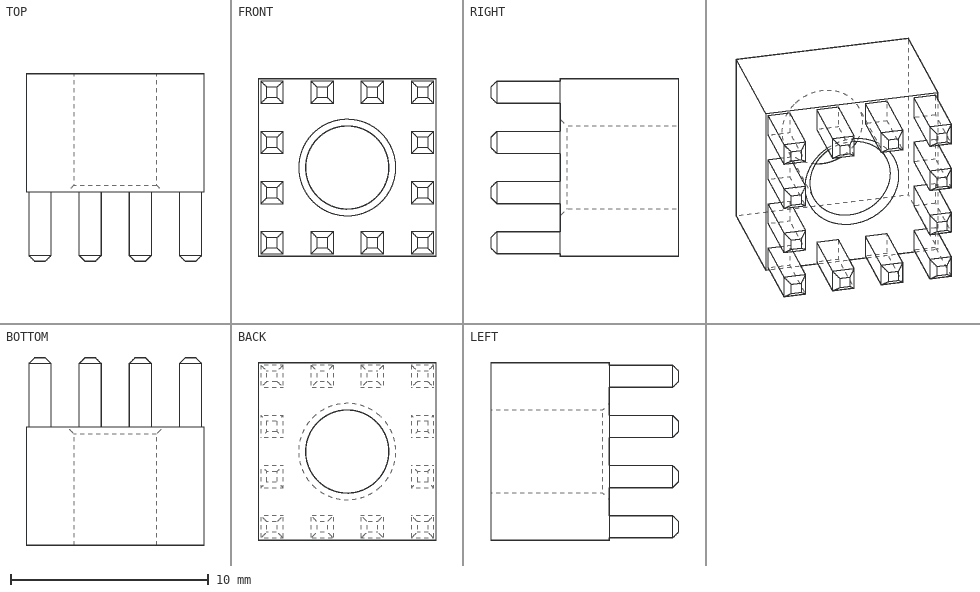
import cadquery as cq

body_width = 9.0
body_depth = 6.0

hole_diameter = 4.2
countersink_diameter = 4.9
countersink_depth = (countersink_diameter - hole_diameter) / 2

pins_per_side = 4
pin_pitch = 2.54
pin_width = 1.13
pin_length = 3.5
tip_length = 0.3
tip_width = pin_width - 2 * tip_length
shank_length = pin_length - tip_length


def make_body():
    """Block with its pin face on the plane Y = 0."""
    return cq.Workplane("XZ").rect(body_width, body_width).extrude(-body_depth)


def make_hole():
    """Through hole with a conical mouth at the pin face, as a revolved cutter."""
    hole_radius = hole_diameter / 2
    return (
        cq.Workplane("XY")
        .moveTo(0, 0)
        .lineTo(countersink_diameter / 2, 0)
        .lineTo(hole_radius, countersink_depth)
        .lineTo(hole_radius, body_depth)
        .lineTo(0, body_depth)
        .close()
        .revolve(360, (0, 0, 0), (0, 1, 0))
    )


def make_pin(x, z):
    """Square pin with a blunt pyramid tip, pointing toward -Y."""
    shank = cq.Workplane("XZ").center(x, z).rect(pin_width, pin_width).extrude(shank_length)
    tip = (
        cq.Workplane("XZ", origin=(x, -shank_length, z))
        .rect(pin_width, pin_width)
        .workplane(offset=tip_length)
        .rect(tip_width, tip_width)
        .loft(ruled=True)
    )
    return shank.union(tip)


def rim_positions():
    """Pin centres on the outer ring of a square grid."""
    last = pins_per_side - 1
    offsets = [(i - last / 2) * pin_pitch for i in range(pins_per_side)]
    rim = (offsets[0], offsets[last])
    return [(x, z) for x in offsets for z in offsets if x in rim or z in rim]


result = make_body().cut(make_hole())
for pin_x, pin_z in rim_positions():
    result = result.union(make_pin(pin_x, pin_z))